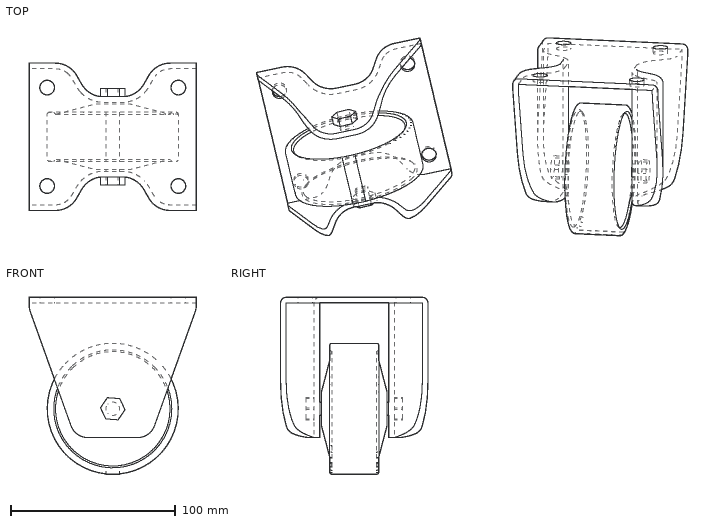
import cadquery as cq
import math

PLATE_LENGTH = 102.0
FORK_WIDTH = 90.0
SHEET = 3.5
FORK_HEIGHT = 85.6
TOTAL_HEIGHT = 108.0
WAVE_RADIUS = 15.0
WAVE_ANGLE = 60.0
EAR_FLAT_START = 35.0
WAIST_DEPTH = 20.5

EAR_HEIGHT = 7.0
LEG_TAPER = 19.7
TRIM_RADIUS = 11.0

HOLE_DIAMETER = 8.8
HOLE_SPACING_X = 80.0
HOLE_SPACING_Y = 60.0

WHEEL_RADIUS = 40.0
WHEEL_WIDTH = 30.0
TREAD_ROUND = 1.4
GROUND_FLAT_LENGTH = 8.0
RECESS_MOUTH_RADIUS = 36.0
RECESS_FLOOR_RADIUS = 34.9
RECESS_DEPTH = 1.3
HUB_RADIUS = 10.5
HUB_WIDTH = 40.0

AXLE_DIAMETER = 8.2
HEX_ACROSS_CORNERS = 15.0
HEX_TILT = -4.5
BOLT_LENGTH = 59.0

AXLE_Z = WHEEL_RADIUS
FOOT_Z = TOTAL_HEIGHT - FORK_HEIGHT


def arc_point(centre_x, centre_y, radius, degrees):
    """Point on a circle, with the angle measured from the +X direction."""
    angle = math.radians(degrees)
    return centre_x + radius * math.cos(angle), centre_y + radius * math.sin(angle)


def make_waisted_block(inset, height):
    """Block with a waisted plan whose wavy sides are moved inward by inset."""
    angle = math.radians(WAVE_ANGLE)
    end_x = PLATE_LENGTH / 2
    edge_y = FORK_WIDTH / 2
    slope_drop = WAIST_DEPTH - 2 * WAVE_RADIUS * (1 - math.cos(angle))
    slope_run = slope_drop / math.tan(angle)
    waist_x = EAR_FLAT_START - 2 * WAVE_RADIUS * math.sin(angle) - slope_run

    ear_bend = (EAR_FLAT_START, edge_y - WAVE_RADIUS, WAVE_RADIUS - inset)
    waist_bend = (waist_x, edge_y - WAIST_DEPTH + WAVE_RADIUS, WAVE_RADIUS + inset)

    quarter = (
        cq.Workplane("XY")
        .lineTo(end_x, 0)
        .lineTo(end_x, edge_y - inset)
        .lineTo(*arc_point(*ear_bend, 90))
        .threePointArc(
            arc_point(*ear_bend, 90 + WAVE_ANGLE / 2),
            arc_point(*ear_bend, 90 + WAVE_ANGLE))
        .lineTo(*arc_point(*waist_bend, -90 + WAVE_ANGLE))
        .threePointArc(
            arc_point(*waist_bend, -90 + WAVE_ANGLE / 2),
            arc_point(*waist_bend, -90))
        .lineTo(0, edge_y - WAIST_DEPTH - inset)
        .close()
        .extrude(height)
    )
    half = quarter.union(quarter.mirror("YZ"))
    return half.union(half.mirror("XZ")).clean()


def make_leg_trim():
    """Tapered envelope that cuts the sloped and rounded edges of both legs."""
    end_x = PLATE_LENGTH / 2
    slope_height = FORK_HEIGHT - EAR_HEIGHT
    foot_x = end_x - slope_height * math.tan(math.radians(LEG_TAPER))
    shoulder_z = TOTAL_HEIGHT - EAR_HEIGHT
    return (
        cq.Workplane("XZ")
        .polyline([
            (-end_x, TOTAL_HEIGHT),
            (end_x, TOTAL_HEIGHT),
            (end_x, shoulder_z),
            (foot_x, FOOT_Z),
            (-foot_x, FOOT_Z),
            (-end_x, shoulder_z),
        ])
        .close()
        .extrude(FORK_WIDTH / 2, both=True)
        .edges("(|Y) and (not >Z)")
        .fillet(TRIM_RADIUS)
    )


def make_fork():
    """Top plate and both legs, rounded along their bends and drilled for mounting."""
    body = make_waisted_block(0, FORK_HEIGHT).translate((0, 0, FOOT_Z))
    body = body.faces(">Z").edges("not(<X or >X)").fillet(SHEET)
    cavity = make_waisted_block(SHEET, FORK_HEIGHT - SHEET).translate((0, 0, FOOT_Z))
    holes = (
        cq.Workplane("XY", origin=(0, 0, TOTAL_HEIGHT - SHEET))
        .rect(HOLE_SPACING_X, HOLE_SPACING_Y, forConstruction=True)
        .vertices()
        .circle(HOLE_DIAMETER / 2)
        .extrude(SHEET)
    )
    return body.cut(cavity).intersect(make_leg_trim()).cut(holes)


def make_wheel():
    """Solid wheel with rounded tread, shallow side recesses and conical hubs."""
    half_width = WHEEL_WIDTH / 2
    floor_y = half_width - RECESS_DEPTH
    wheel = (
        cq.Workplane("XY")
        .polyline([
            (0, -HUB_WIDTH / 2),
            (HUB_RADIUS, -HUB_WIDTH / 2),
            (RECESS_FLOOR_RADIUS, -floor_y),
            (RECESS_MOUTH_RADIUS, -half_width),
            (WHEEL_RADIUS, -half_width),
            (WHEEL_RADIUS, half_width),
            (RECESS_MOUTH_RADIUS, half_width),
            (RECESS_FLOOR_RADIUS, floor_y),
            (HUB_RADIUS, HUB_WIDTH / 2),
            (0, HUB_WIDTH / 2),
        ])
        .close()
        .revolve(360, (0, 0, 0), (0, 1, 0))
    )
    tread_edges = cq.selectors.RadiusNthSelector(-1)
    return wheel.edges(tread_edges).fillet(TREAD_ROUND).translate((0, 0, AXLE_Z))


def make_ground_flat():
    """Narrow flat strip under the tread where the wheel stands on the ground."""
    return (
        cq.Workplane("XY")
        .rect(GROUND_FLAT_LENGTH, WHEEL_WIDTH)
        .extrude(WHEEL_RADIUS - RECESS_MOUTH_RADIUS)
        .faces("<Z")
        .edges("|X")
        .fillet(TREAD_ROUND)
    )


def make_axle():
    """Axle through both legs with a hexagonal head, rooted in the sheet, on each end."""
    half_length = BOLT_LENGTH / 2
    leg_inner_y = FORK_WIDTH / 2 - WAIST_DEPTH - SHEET
    head_start = leg_inner_y + SHEET / 2
    pin = (
        cq.Workplane("XZ", origin=(0, 0, AXLE_Z))
        .circle(AXLE_DIAMETER / 2)
        .extrude(half_length, both=True)
    )
    head = (
        cq.Workplane("XZ", origin=(0, -head_start, AXLE_Z))
        .transformed(rotate=(0, 0, HEX_TILT))
        .polygon(6, HEX_ACROSS_CORNERS)
        .extrude(half_length - head_start)
    )
    return pin.union(head).union(head.mirror("XZ"))


wheel = make_wheel().union(make_ground_flat())
result = make_fork().union(wheel).union(make_axle())